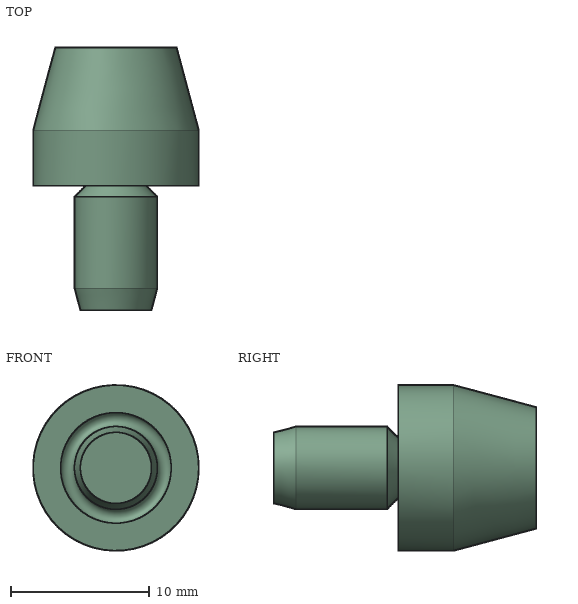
import cadquery as cq
import math


head_radius = 6.0
head_length = 10.0
head_taper_length = 6.0
taper_angle = math.radians(15)

shank_radius = 3.0
shank_length = 9.0
tip_taper_length = 1.6

neck_length = 0.8
neck_angle = math.radians(45)

groove_inner_radius = shank_radius
groove_outer_radius = 4.0

head_straight_length = head_length - head_taper_length
head_end_radius = head_radius - head_taper_length * math.tan(taper_angle)
tip_radius = shank_radius - tip_taper_length * math.tan(taper_angle)
neck_radius = shank_radius - neck_length * math.tan(neck_angle)
groove_depth = (groove_outer_radius - groove_inner_radius) / 2
groove_mid_radius = (groove_outer_radius + groove_inner_radius) / 2


def half_profile():
    """Closed half section in the XY plane: X is the radius, Y the axis."""
    return (
        cq.Workplane("XY")
        .moveTo(0, -shank_length)
        .lineTo(tip_radius, -shank_length)
        .lineTo(shank_radius, -shank_length + tip_taper_length)
        .lineTo(shank_radius, -neck_length)
        .lineTo(neck_radius, 0)
        .lineTo(groove_inner_radius, 0)
        .threePointArc((groove_mid_radius, groove_depth), (groove_outer_radius, 0))
        .lineTo(head_radius, 0)
        .lineTo(head_radius, head_straight_length)
        .lineTo(head_end_radius, head_length)
        .lineTo(0, head_length)
        .close()
    )


result = half_profile().revolve(360, (0, 0, 0), (0, 1, 0))